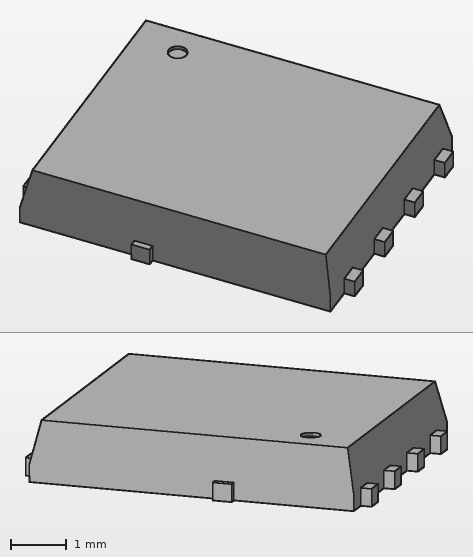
import cadquery as cq

overall_length = 6.55
overall_width = 5.4
overall_height = 1.12

body_length = 6.14
body_width = 5.15
base_height = 0.335
taper_inset = 0.17

terminal_width = 0.36
terminal_pitch = 1.27
terminals_per_side = 4
terminal_row_center_y = 0.1
tie_bar_x = -0.62

marker_x = -1.99
marker_y = 1.8
marker_diameter = 0.355
marker_depth = 0.065


def make_body():
    base = cq.Workplane("XY").box(
        body_length, body_width, base_height, centered=(True, True, False)
    )
    cap = (
        cq.Workplane("XY", origin=(0, 0, base_height))
        .rect(body_length, body_width)
        .workplane(offset=overall_height - base_height)
        .rect(body_length - 2 * taper_inset, body_width - 2 * taper_inset)
        .loft(ruled=True)
    )
    return base.union(cap)


def make_bar(length_x, length_y, center_x, center_y):
    """Bar through the base whose two ends stand out as terminals."""
    return (
        cq.Workplane("XY")
        .box(length_x, length_y, base_height, centered=(True, True, False))
        .translate((center_x, center_y, 0))
    )


result = make_body()

for index in range(terminals_per_side):
    row_offset = (index - (terminals_per_side - 1) / 2) * terminal_pitch
    center_y = terminal_row_center_y + row_offset
    result = result.union(make_bar(overall_length, terminal_width, 0, center_y))

result = result.union(make_bar(terminal_width, overall_width, tie_bar_x, 0))

marker = (
    cq.Workplane("XY", origin=(marker_x, marker_y, overall_height - marker_depth))
    .circle(marker_diameter / 2)
    .extrude(marker_depth)
)
result = result.cut(marker)